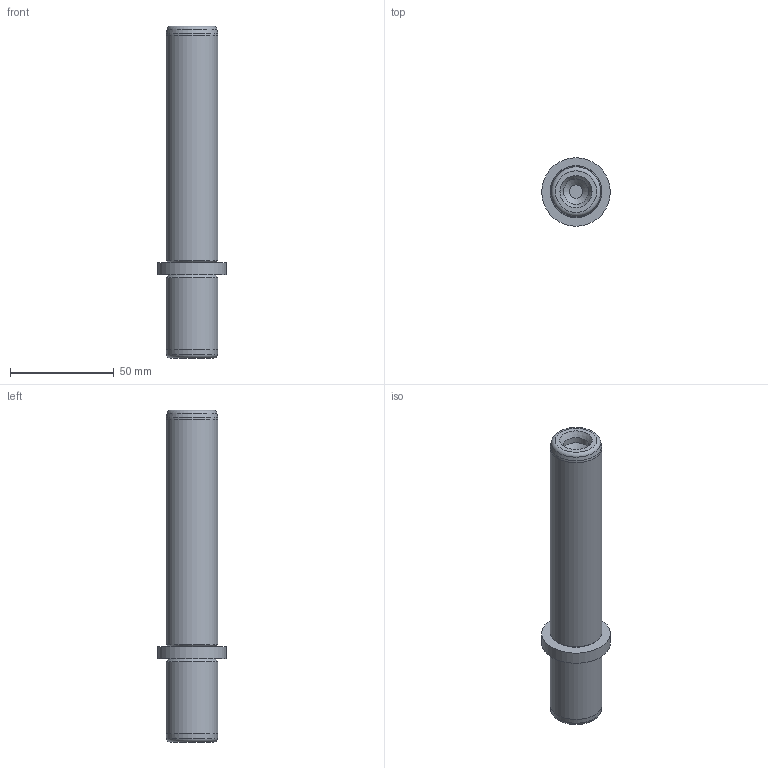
import cadquery as cq
import math

LENGTH = 160.0
SHAFT_RADIUS = 12.5

COLLAR_RADIUS = 16.5
COLLAR_BOTTOM = 40.0
COLLAR_THICKNESS = 6.0
COLLAR_TOP = COLLAR_BOTTOM + COLLAR_THICKNESS

UPPER_RELIEF = 0.9
LOWER_RELIEF = 1.25

TOP_LEAD_LENGTH = 4.5
TOP_CONE_ANGLE = math.radians(13.0)
TOP_BLEND_RADIUS = 5.0
TOP_RIM_RADIUS = 2.0

BOTTOM_LEAD_LENGTH = 4.0
BOTTOM_CONE_ANGLE = math.radians(5.0)
BOTTOM_RIM_RADIUS = 1.8

COUNTERSINK_HALF_ANGLE = math.radians(30.0)
TIP_HALF_ANGLE = math.radians(45.0)
COUNTERSINK_RADIUS = 7.75
BORE_RADIUS = 6.1
BORE_LENGTH = 3.0
FLOOR_RADIUS = 3.2


def revolve_profile(profile):
    """Turn a closed (radius, height) profile about the Z axis."""
    return profile.revolve(360, (0, 0, 0), (0, 1, 0))


def pin_body():
    bottom_rim_height = BOTTOM_RIM_RADIUS * (1 - math.sin(BOTTOM_CONE_ANGLE))
    bottom_cone_height = BOTTOM_LEAD_LENGTH - bottom_rim_height
    bottom_nose = SHAFT_RADIUS - bottom_cone_height * math.tan(BOTTOM_CONE_ANGLE)
    bottom_face = bottom_nose - BOTTOM_RIM_RADIUS * math.cos(BOTTOM_CONE_ANGLE)

    top_lead_start = LENGTH - TOP_LEAD_LENGTH
    top_cone_start = top_lead_start + TOP_BLEND_RADIUS * math.sin(TOP_CONE_ANGLE)
    top_cone_end = LENGTH - TOP_RIM_RADIUS * (1 - math.sin(TOP_CONE_ANGLE))
    top_cone_base = SHAFT_RADIUS - TOP_BLEND_RADIUS * (1 - math.cos(TOP_CONE_ANGLE))
    top_nose = top_cone_base - (top_cone_end - top_cone_start) * math.tan(TOP_CONE_ANGLE)
    top_face = top_nose - TOP_RIM_RADIUS * math.cos(TOP_CONE_ANGLE)

    profile = (
        cq.Workplane("XZ")
        .lineTo(bottom_face, 0)
        .radiusArc((bottom_nose, bottom_rim_height), -BOTTOM_RIM_RADIUS)
        .lineTo(SHAFT_RADIUS, BOTTOM_LEAD_LENGTH)
        .lineTo(SHAFT_RADIUS, COLLAR_BOTTOM - LOWER_RELIEF)
        .lineTo(SHAFT_RADIUS - LOWER_RELIEF, COLLAR_BOTTOM)
        .lineTo(COLLAR_RADIUS, COLLAR_BOTTOM)
        .lineTo(COLLAR_RADIUS, COLLAR_TOP)
        .lineTo(SHAFT_RADIUS - UPPER_RELIEF, COLLAR_TOP)
        .lineTo(SHAFT_RADIUS, COLLAR_TOP + UPPER_RELIEF)
        .lineTo(SHAFT_RADIUS, top_lead_start)
        .radiusArc((top_cone_base, top_cone_start), -TOP_BLEND_RADIUS)
        .lineTo(top_nose, top_cone_end)
        .radiusArc((top_face, LENGTH), -TOP_RIM_RADIUS)
        .lineTo(0, LENGTH)
        .close()
    )
    return revolve_profile(profile)


def centre_hole():
    """Countersink, short bore and flat-ended conical tip."""
    bore_top = LENGTH - (COUNTERSINK_RADIUS - BORE_RADIUS) / math.tan(COUNTERSINK_HALF_ANGLE)
    bore_bottom = bore_top - BORE_LENGTH
    floor = bore_bottom - (BORE_RADIUS - FLOOR_RADIUS) / math.tan(TIP_HALF_ANGLE)

    profile = (
        cq.Workplane("XZ")
        .moveTo(0, LENGTH)
        .lineTo(COUNTERSINK_RADIUS, LENGTH)
        .lineTo(BORE_RADIUS, bore_top)
        .lineTo(BORE_RADIUS, bore_bottom)
        .lineTo(FLOOR_RADIUS, floor)
        .lineTo(0, floor)
        .close()
    )
    return revolve_profile(profile)


result = pin_body().cut(centre_hole())